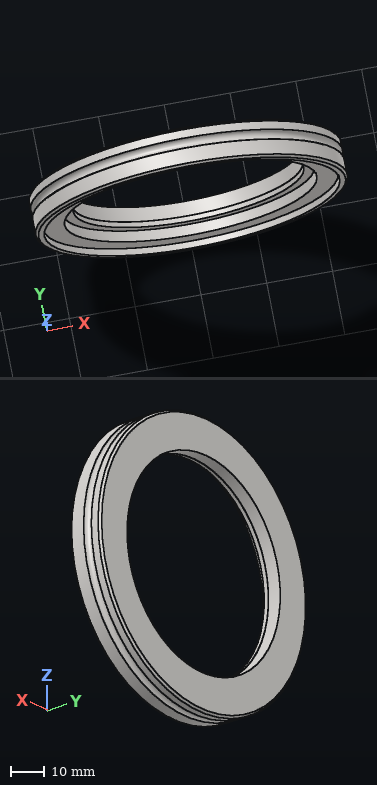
import cadquery as cq

outer_diameter = 95.0
width = 12.0
edge_chamfer = 0.8

groove_radius = 1.5
groove_depth = 7.0

bore_steps = [
    (89.9, 2.2),
    (76.8, 5.6),
    (70.1, 7.3),
    (70.0, width),
]

front_y = -width / 2


def disc(diameter, length):
    """Solid disc reaching from the front face to the given depth."""
    return (
        cq.Workplane("XZ", origin=(0, front_y, 0))
        .circle(diameter / 2)
        .extrude(-length)
    )


def rim_groove():
    """Round-section ring centred on the rim surface."""
    return (
        cq.Workplane("XY")
        .center(outer_diameter / 2, front_y + groove_depth)
        .circle(groove_radius)
        .revolve(360, (-outer_diameter / 2, 0), (-outer_diameter / 2, 1))
    )


result = disc(outer_diameter, width).edges().chamfer(edge_chamfer)

result = result.cut(rim_groove())

for step_diameter, step_end in bore_steps:
    result = result.cut(disc(step_diameter, step_end))